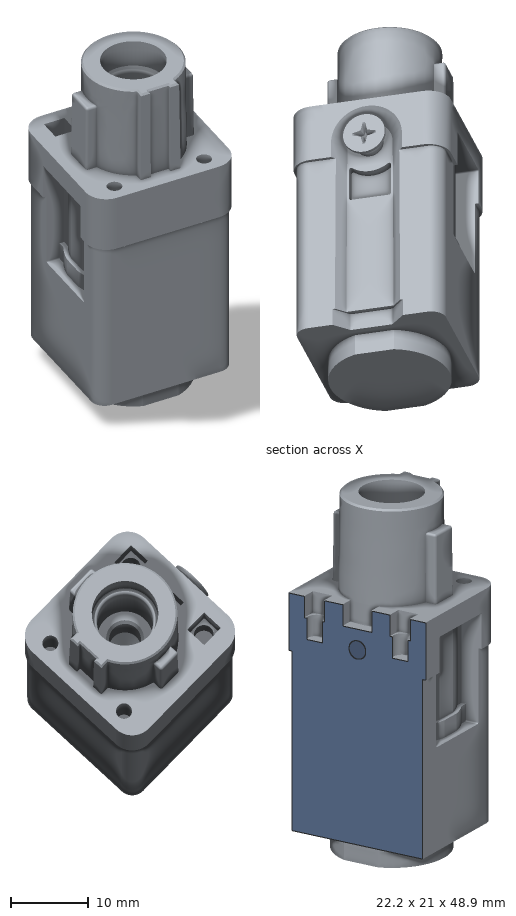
import cadquery as cq
import math

TOTAL_HEIGHT = 48.9
COLLAR_TOP = 2.9
CAP_BOTTOM = 27.65
CAP_TOP = 35.6

CAP_SIDE = 20.95
CAP_CORNER_RADIUS = 3.0
BLOCK_SIDE = 19.9
BLOCK_CORNER_RADIUS = 1.95
CAP_FACE_X = -CAP_SIDE / 2
BLOCK_FACE_X = -BLOCK_SIDE / 2

AXIS_X = 0.95
TOWER_RADIUS = 6.9
TOWER_DRAFT_ANGLE = 0.6
TOWER_RIM_CHAMFER = 0.25
COLLAR_RADIUS = 7.95
COLLAR_FLAT_OFFSET = 7.55

SIDE_KEY_REACH = 8.05
SIDE_KEY_TOP = 45.15
SIDE_KEY_FILLET = 0.35
FRONT_KEY_WIDTH = 4.4
BACK_KEY_WIDTH = 3.4
END_KEY_REACH = 7.5
END_KEY_WIDTH = 5.8
END_KEY_GROOVE_WIDTH = 2.9
END_KEY_GROOVE_FLOOR = 6.9

BORE_RADIUS = 4.3
BORE_DEPTH = 3.8
BORE_CHAMFER = 0.3
SOCKET_RADIUS = 3.6
SOCKET_FLOOR = CAP_TOP
CONTACT_MOUTH_RADIUS = 2.45
CONTACT_RADIUS = 2.05
CONTACT_DEPTH = 4.9
DRILL_POINT_HEIGHT = 1.15

NUT_POCKET_X = -7.05
NUT_POCKET_Y = 6.5
NUT_POCKET_LENGTH = 3.15
NUT_POCKET_WIDTH = 3.0
NUT_POCKET_DEPTH = 2.95
NUT_HOLE_X = -7.0
NUT_HOLE_RADIUS = 1.25
PIN_HOLE_X = 8.0
PIN_HOLE_Y = 6.55
PIN_HOLE_RADIUS = 1.05
BLIND_HOLE_DEPTH = 5.85
LATCH_SLOT_X = -7.78
LATCH_SLOT_WIDTH = 4.35

WINDOW_WIDTH = 10.25
WINDOW_BOTTOM = 17.2
WINDOW_TOP = 32.55
WINDOW_CORNER_RADIUS = 0.2
CORE_STEP_Z = 19.6
CORE_LOWER_RADIUS = 9.05
CORE_UPPER_RADIUS = 8.45
CORE_FRONT_HALF_WIDTH = 1.5
CORE_BULGE_HALF_WIDTH = 4.1

SCREW_Z = 29.8
CHANNEL_FLOOR_X = -8.75
CHANNEL_TOP_HALF_WIDTH = 3.05
CHANNEL_BOTTOM_HALF_WIDTH = 3.2
NOTCH_TOP = 5.25
NOTCH_FLOOR_X = -8.0
NOTCH_FLOOR_HALF_WIDTH = 2.8
NOTCH_FILLET = 0.45
RECESS_WIDTH = 5.57
RECESS_FLOOR_X = -7.55
RECESS_BOTTOM = 21.85
RECESS_ARC_RADIUS = 4.0
RECESS_CORNER_RADIUS = 0.25
BOSS_RADIUS = 1.8
BOSS_HEIGHT = 0.6
BOSS_FILLET = 0.55

SCREW_PROTRUSION = 1.25
SCREW_TOP_X = CAP_FACE_X - SCREW_PROTRUSION
SCREW_HEAD_RADIUS = 2.8
SCREW_RIM_HEIGHT = 0.5
SCREW_SHANK_RADIUS = 1.2
SCREW_TIP_X = -5.4
DRIVE_TIP_RADIUS = 1.6
DRIVE_TIP_WIDTH = 0.3
DRIVE_VALLEY_RADIUS = 0.65
DRIVE_DEPTH = 0.9
DRIVE_FLOOR_SCALE = 0.35


def block(x_min, x_max, width, z_min, z_max, y_mid=0.0):
    """Box between two X positions, centred on y_mid."""
    base = cq.Workplane("XY", origin=(x_min, y_mid, z_min))
    return base.box(x_max - x_min, width, z_max - z_min, centered=(False, True, False))


def disc(x, y, radius, z_min, z_max):
    """Upright cylinder."""
    return cq.Workplane("XY", origin=(x, y, z_min)).circle(radius).extrude(z_max - z_min)


def rounded_square(side, corner_radius, z_min, z_max):
    """Upright square prism with rounded vertical edges."""
    return block(-side / 2, side / 2, side, z_min, z_max).edges("|Z").fillet(corner_radius)


def flatted_collar():
    """Round collar with a flat on the -X and +X sides."""
    collar = disc(AXIS_X, 0, COLLAR_RADIUS, 0, COLLAR_TOP)
    flats = block(
        AXIS_X - COLLAR_FLAT_OFFSET, AXIS_X + COLLAR_FLAT_OFFSET, 2 * COLLAR_RADIUS, 0, COLLAR_TOP
    )
    return collar.intersect(flats)


def drafted_key(reach, width, top, turn):
    """Key that starts on the tower axis, points +X before it is turned, and narrows upward."""
    key = (
        cq.Workplane("XY", origin=(0, 0, CAP_TOP))
        .rect(2 * reach, width)
        .extrude(top - CAP_TOP, taper=TOWER_DRAFT_ANGLE)
        .intersect(block(0, reach, width, CAP_TOP, top))
    )
    return key.rotate((0, 0, 0), (0, 0, 1), turn).translate((AXIS_X, 0, 0))


def side_key(width, side):
    """Lower key on the -Y (side = -1) or +Y (side = 1) flank of the tower."""
    key = drafted_key(SIDE_KEY_REACH, width, SIDE_KEY_TOP, side * 90)
    outer_face = ">Y" if side > 0 else "<Y"
    return key.faces(f"{outer_face} or >Z").edges("not <Z").fillet(SIDE_KEY_FILLET)


def tower():
    """Round tower with a grooved full-height key on +X and a lower key on each flank."""
    body = (
        cq.Workplane("XY", origin=(AXIS_X, 0, CAP_TOP))
        .circle(TOWER_RADIUS)
        .extrude(TOTAL_HEIGHT - CAP_TOP, taper=TOWER_DRAFT_ANGLE)
    )
    body = body.union(drafted_key(END_KEY_REACH, END_KEY_WIDTH, TOTAL_HEIGHT, 0))
    groove = block(
        AXIS_X + END_KEY_GROOVE_FLOOR, AXIS_X + END_KEY_REACH, END_KEY_GROOVE_WIDTH, CAP_TOP, TOTAL_HEIGHT
    )
    body = body.cut(groove).faces(">Z").edges().chamfer(TOWER_RIM_CHAMFER)
    return body.union(side_key(FRONT_KEY_WIDTH, -1)).union(side_key(BACK_KEY_WIDTH, 1))


def tower_bore():
    """Stepped bore: wide mouth, chamfered and rounded shoulder, socket, contact hole with a drill point."""
    shoulder_z = TOTAL_HEIGHT - BORE_DEPTH
    chamfer_z = shoulder_z - BORE_CHAMFER
    rounding = BORE_RADIUS - BORE_CHAMFER - SOCKET_RADIUS
    mid = rounding * math.sqrt(0.5)
    contact_z = SOCKET_FLOOR - CONTACT_DEPTH
    mouth_z = SOCKET_FLOOR - (CONTACT_MOUTH_RADIUS - CONTACT_RADIUS)
    half_profile = (
        cq.Workplane("XZ")
        .moveTo(0, TOTAL_HEIGHT)
        .lineTo(BORE_RADIUS, TOTAL_HEIGHT)
        .lineTo(BORE_RADIUS, shoulder_z)
        .lineTo(BORE_RADIUS - BORE_CHAMFER, chamfer_z)
        .threePointArc(
            (SOCKET_RADIUS + rounding - mid, chamfer_z - rounding + mid),
            (SOCKET_RADIUS, chamfer_z - rounding),
        )
        .lineTo(SOCKET_RADIUS, SOCKET_FLOOR)
        .lineTo(CONTACT_MOUTH_RADIUS, SOCKET_FLOOR)
        .lineTo(CONTACT_RADIUS, mouth_z)
        .lineTo(CONTACT_RADIUS, contact_z)
        .lineTo(0, contact_z - DRILL_POINT_HEIGHT)
        .close()
    )
    return half_profile.revolve(360, (0, 0), (0, 1)).translate((AXIS_X, 0, 0))


def cap_holes():
    """Nut pockets with their holes, pin holes and the latch slot beside the tower."""
    holes = block(LATCH_SLOT_X, AXIS_X, LATCH_SLOT_WIDTH, CAP_TOP - NUT_POCKET_DEPTH, CAP_TOP)
    holes = holes.cut(disc(AXIS_X, 0, TOWER_RADIUS, 0, CAP_TOP))
    for side in (-1, 1):
        pocket = block(
            NUT_POCKET_X - NUT_POCKET_LENGTH / 2,
            NUT_POCKET_X + NUT_POCKET_LENGTH / 2,
            NUT_POCKET_WIDTH,
            CAP_TOP - NUT_POCKET_DEPTH,
            CAP_TOP,
            side * NUT_POCKET_Y,
        )
        hole_bottom = CAP_TOP - BLIND_HOLE_DEPTH
        nut_hole = disc(NUT_HOLE_X, side * NUT_POCKET_Y, NUT_HOLE_RADIUS, hole_bottom, CAP_TOP)
        pin_hole = disc(PIN_HOLE_X, side * PIN_HOLE_Y, PIN_HOLE_RADIUS, hole_bottom, CAP_TOP)
        holes = holes.union(pocket).union(nut_hole).union(pin_hole)
    return holes


def core_stage(radius, z_min, z_max):
    """Core behind the window: a front flat, an arc on each side of it, then flat shoulders."""
    front_y = -math.sqrt(radius**2 - CORE_FRONT_HALF_WIDTH**2)
    shoulder_y = -math.sqrt(radius**2 - CORE_BULGE_HALF_WIDTH**2)
    bulge = disc(0, 0, radius, z_min, z_max).intersect(
        block(-CORE_BULGE_HALF_WIDTH, CORE_BULGE_HALF_WIDTH, -2 * front_y, z_min, z_max)
    )
    shoulders = block(-WINDOW_WIDTH, WINDOW_WIDTH, -2 * shoulder_y, z_min, z_max)
    return bulge.union(shoulders).translate((AXIS_X, 0, 0))


def window():
    """Opening in the -Y wall down to the stepped core."""
    depth = CAP_SIDE / 2
    left_x = AXIS_X - WINDOW_WIDTH / 2
    opening = block(left_x, left_x + WINDOW_WIDTH, depth, WINDOW_BOTTOM, WINDOW_TOP, -depth / 2)
    opening = opening.edges("|Y").fillet(WINDOW_CORNER_RADIUS)
    opening = opening.cut(core_stage(CORE_LOWER_RADIUS, WINDOW_BOTTOM, CORE_STEP_Z))
    return opening.cut(core_stage(CORE_UPPER_RADIUS, CORE_STEP_Z, WINDOW_TOP))


def channel_points(floor_x, floor_half_width, outer_x):
    """Trapezoid with 45 degree sides, opening toward -X."""
    outer_half_width = floor_half_width + floor_x - outer_x
    return [
        (outer_x, -outer_half_width),
        (floor_x, -floor_half_width),
        (floor_x, floor_half_width),
        (outer_x, outer_half_width),
    ]


def screw_axis_plane(x):
    """Plane at x on the screw axis, with its normal along +X."""
    return cq.Workplane("YZ", origin=(x, 0, SCREW_Z))


def screw_channel():
    """Channel below the screw, widening downward, with a conical head at its top and a notch at its foot."""
    channel = (
        cq.Workplane("XY", origin=(0, 0, COLLAR_TOP))
        .polyline(channel_points(CHANNEL_FLOOR_X, CHANNEL_BOTTOM_HALF_WIDTH, CAP_FACE_X))
        .close()
        .workplane(offset=SCREW_Z - COLLAR_TOP)
        .polyline(channel_points(CHANNEL_FLOOR_X, CHANNEL_TOP_HALF_WIDTH, CAP_FACE_X))
        .close()
        .loft(ruled=True)
    )
    depth = CHANNEL_FLOOR_X - CAP_FACE_X
    cone = (
        screw_axis_plane(CAP_FACE_X)
        .circle(CHANNEL_TOP_HALF_WIDTH + depth)
        .workplane(offset=depth)
        .circle(CHANNEL_TOP_HALF_WIDTH)
        .loft()
    )
    cone = cone.intersect(block(CAP_FACE_X, CHANNEL_FLOOR_X, CAP_SIDE, SCREW_Z, CAP_TOP))
    notch = (
        cq.Workplane("XY", origin=(0, 0, COLLAR_TOP))
        .polyline(channel_points(NOTCH_FLOOR_X, NOTCH_FLOOR_HALF_WIDTH, BLOCK_FACE_X))
        .close()
        .extrude(NOTCH_TOP - COLLAR_TOP)
        .edges("|Z and >X")
        .fillet(NOTCH_FILLET)
    )
    return channel.union(cone).union(notch)


def screw_recess():
    """Shallow recess below the screw, its top edge concentric with the screw."""
    recess = block(CHANNEL_FLOOR_X, RECESS_FLOOR_X, RECESS_WIDTH, RECESS_BOTTOM, SCREW_Z)
    depth = RECESS_FLOOR_X - CHANNEL_FLOOR_X
    rim = screw_axis_plane(CHANNEL_FLOOR_X).circle(RECESS_ARC_RADIUS).extrude(depth)
    return recess.cut(rim).edges("|X").fillet(RECESS_CORNER_RADIUS)


def screw_boss():
    """Rounded boss around the screw hole on the channel floor."""
    boss = screw_axis_plane(CHANNEL_FLOOR_X).circle(BOSS_RADIUS).extrude(-BOSS_HEIGHT)
    return boss.faces("<X").edges().fillet(BOSS_FILLET)


def screw_blank():
    """Countersunk screw without its drive; the same shape cuts its hole in the housing."""
    rim_x = SCREW_TOP_X + SCREW_RIM_HEIGHT
    neck_x = rim_x + SCREW_HEAD_RADIUS - SCREW_SHANK_RADIUS
    return (
        cq.Workplane("XY")
        .polyline(
            [
                (SCREW_TOP_X, 0),
                (SCREW_TOP_X, SCREW_HEAD_RADIUS),
                (rim_x, SCREW_HEAD_RADIUS),
                (neck_x, SCREW_SHANK_RADIUS),
                (SCREW_TIP_X, SCREW_SHANK_RADIUS),
                (SCREW_TIP_X, 0),
            ]
        )
        .close()
        .revolve(360, (0, 0), (1, 0))
        .translate((0, 0, SCREW_Z))
    )


def drive_points(scale):
    """Four-pointed star of the cross drive, with blunt tips."""
    tip_half_angle = math.atan2(DRIVE_TIP_WIDTH / 2, DRIVE_TIP_RADIUS)
    points = []
    for arm in range(4):
        arm_angle = arm * math.pi / 2
        corners = [
            (DRIVE_TIP_RADIUS, arm_angle - tip_half_angle),
            (DRIVE_TIP_RADIUS, arm_angle + tip_half_angle),
            (DRIVE_VALLEY_RADIUS, arm_angle + math.pi / 4),
        ]
        for radius, angle in corners:
            points.append((scale * radius * math.cos(angle), scale * radius * math.sin(angle)))
    return points


def make_screw():
    """Countersunk screw with a tapered cross drive."""
    drive = (
        screw_axis_plane(SCREW_TOP_X)
        .polyline(drive_points(1.0))
        .close()
        .workplane(offset=DRIVE_DEPTH)
        .polyline(drive_points(DRIVE_FLOOR_SCALE))
        .close()
        .loft(ruled=True)
    )
    return screw_blank().cut(drive)


def make_housing():
    """Block, cap, collar and tower as one body with all its openings."""
    body = rounded_square(BLOCK_SIDE, BLOCK_CORNER_RADIUS, COLLAR_TOP, CAP_BOTTOM)
    body = body.union(rounded_square(CAP_SIDE, CAP_CORNER_RADIUS, CAP_BOTTOM, CAP_TOP))
    body = body.union(flatted_collar()).union(tower())
    body = body.cut(tower_bore()).cut(cap_holes()).cut(window())
    body = body.cut(screw_channel()).cut(screw_recess()).union(screw_boss())
    return body.cut(screw_blank())


housing = make_housing()
screw = make_screw()
result = cq.Compound.makeCompound([housing.val(), screw.val()])